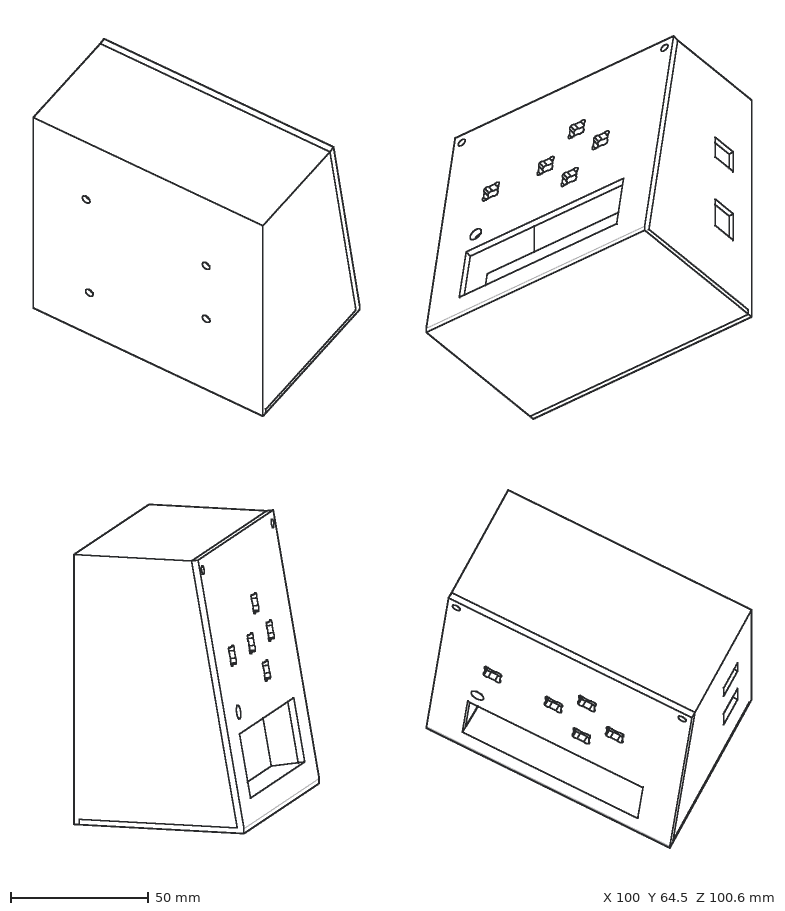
import cadquery as cq
import math

WIDTH = 100.0
DEPTH = 64.5
HEIGHT = 100.6

WALL = 2.0
PANEL_THICKNESS = 2.5
LEAN_DEGREES = 10.0
TOE_HEIGHT = 2.0

LEAN = math.radians(LEAN_DEGREES)
PANEL_RUN = PANEL_THICKNESS / math.cos(LEAN)
HOUSING_HEIGHT = HEIGHT - PANEL_THICKNESS * math.sin(LEAN)


def panel_outer_y(z):
    """Y of the outer leaning face at height z."""
    return DEPTH - (z - TOE_HEIGHT) * math.tan(LEAN)


def panel_inner_y(z):
    """Y of the inner leaning face at height z."""
    return panel_outer_y(z) - PANEL_RUN


MOUNT_HOLE_DIAMETER = 3.2
MOUNT_HOLES = [(23.0, 70.1), (24.4, 21.9), (75.2, 65.0), (75.2, 37.1)]

OPENING_Y = 11.1
OPENING_WIDTH = 11.0
OPENINGS = [(60.3, 9.1), (28.6, 12.2)]

WINDOW_LEFT = 14.0
WINDOW_WIDTH = 72.0
WINDOW_BOTTOM = 8.7
WINDOW_HEIGHT = 23.9

LEDGE_THICKNESS = 1.0
PLATE_THICKNESS = 1.0
PLATE_DEPTH = 12.9

BUTTON_SIZE = 6.3
BUTTON_RELIEF_DIAMETER = 2.5
BUTTON_RELIEF_INSET = 0.9
CROSS_X = 40.7
CROSS_SLOPE = 60.4
CROSS_ARM = 12.6
LONE_BUTTON_X = 78.4
BUTTONS = [
    (CROSS_X - CROSS_ARM, CROSS_SLOPE),
    (CROSS_X + CROSS_ARM, CROSS_SLOPE),
    (CROSS_X, CROSS_SLOPE - CROSS_ARM),
    (CROSS_X, CROSS_SLOPE + CROSS_ARM),
    (LONE_BUTTON_X, CROSS_SLOPE),
]

LAMP_DIAMETER = 5.0
LAMP_X = 82.7
LAMP_SLOPE = 40.1

SCREW_HOLE_DIAMETER = 3.1
SCREW_INSET = 3.6
SCREW_SLOPE = 95.8


def side_profile(points):
    """Extrude a (y, z) outline across the full width."""
    return cq.Workplane("YZ").polyline(points).close().extrude(WIDTH)


def make_housing():
    outer = side_profile([
        (0, 0),
        (WALL, 0),
        (WALL, WALL),
        (panel_inner_y(WALL), WALL),
        (panel_inner_y(HOUSING_HEIGHT), HOUSING_HEIGHT),
        (0, HOUSING_HEIGHT),
    ])
    cavity = cq.Workplane("XY").box(
        WIDTH - 2 * WALL, DEPTH, HOUSING_HEIGHT - 2 * WALL, centered=False
    ).translate((WALL, WALL, WALL))
    housing = outer.cut(cavity)

    for x, z in MOUNT_HOLES:
        hole = cq.Workplane("XZ", origin=(x, 0, z)).circle(MOUNT_HOLE_DIAMETER / 2).extrude(-WALL)
        housing = housing.cut(hole)

    for bottom, height in OPENINGS:
        opening = cq.Workplane("XY").box(WALL, OPENING_WIDTH, height, centered=False)
        housing = housing.cut(opening.translate((0, OPENING_Y, bottom)))
    return housing


def on_panel(x, up_slope, depth=0):
    """Workplane parallel to the leaning face, at a depth below it; its y axis points down the slope."""
    outward = cq.Vector(0, math.cos(LEAN), math.sin(LEAN))
    face = cq.Plane(origin=(0, DEPTH, TOE_HEIGHT), xDir=(1, 0, 0), normal=outward)
    return cq.Workplane(face).workplane(offset=-depth).center(x, -up_slope)


def panel_block(left, bottom, width, height, depth, thickness):
    """Block parallel to the panel, from a depth below the outer face inward."""
    middle = on_panel(left + width / 2, bottom + height / 2, depth)
    return middle.rect(width, height).extrude(-thickness)


def panel_hole(x, up_slope, diameter):
    return on_panel(x, up_slope).circle(diameter / 2).extrude(-PANEL_THICKNESS)


def button_opening(x, up_slope):
    opening = on_panel(x, up_slope).rect(BUTTON_SIZE, BUTTON_SIZE).extrude(-PANEL_THICKNESS)
    relief_offset = BUTTON_SIZE / 2 - BUTTON_RELIEF_INSET
    for side in (-1, 1):
        for end in (-1, 1):
            opening = opening.union(panel_hole(
                x + side * relief_offset,
                up_slope + end * relief_offset,
                BUTTON_RELIEF_DIAMETER,
            ))
    return opening


def make_lid():
    lid = side_profile([
        (WALL, 0),
        (DEPTH, 0),
        (DEPTH, TOE_HEIGHT),
        (panel_outer_y(HEIGHT), HEIGHT),
        (panel_inner_y(HOUSING_HEIGHT), HOUSING_HEIGHT),
        (panel_inner_y(WALL), WALL),
        (WALL, WALL),
    ])
    ledge = panel_block(
        WINDOW_LEFT, WINDOW_BOTTOM - LEDGE_THICKNESS, WINDOW_WIDTH, LEDGE_THICKNESS,
        0, PLATE_DEPTH,
    )
    lid = lid.union(ledge)
    lid = lid.cut(panel_block(
        WINDOW_LEFT, WINDOW_BOTTOM, WINDOW_WIDTH, WINDOW_HEIGHT, 0, PANEL_THICKNESS,
    )).clean()
    for x, up_slope in BUTTONS:
        lid = lid.cut(button_opening(x, up_slope))
    lid = lid.cut(panel_hole(LAMP_X, LAMP_SLOPE, LAMP_DIAMETER))
    for x in (SCREW_INSET, WIDTH - SCREW_INSET):
        lid = lid.cut(panel_hole(x, SCREW_SLOPE, SCREW_HOLE_DIAMETER))
    return lid


def make_display_plate():
    return panel_block(
        WINDOW_LEFT, WINDOW_BOTTOM - LEDGE_THICKNESS, WINDOW_WIDTH, WINDOW_HEIGHT + LEDGE_THICKNESS,
        PLATE_DEPTH, PLATE_THICKNESS,
    )


housing = make_housing()
lid = make_lid()
display_plate = make_display_plate()

result = cq.Compound.makeCompound([housing.val(), lid.val(), display_plate.val()])